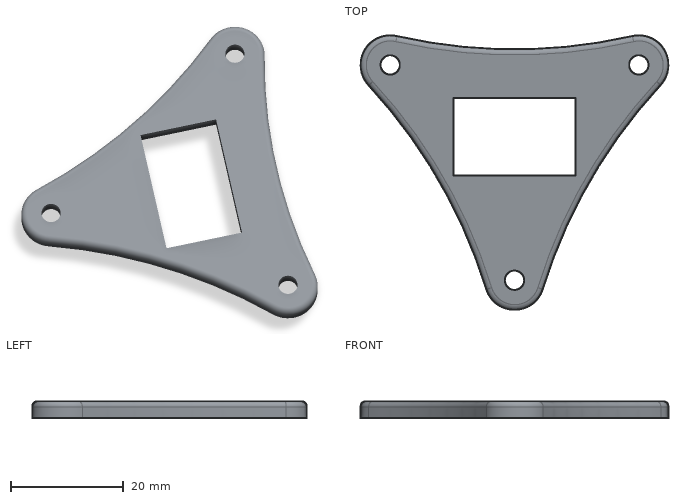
import cadquery as cq
import math

overall_width = 54.65
thickness = 3.0
hole_spacing = 44.1
hole_diameter = 3.4
side_radius = 93.7
window_width = 21.6
window_height = 13.7
edge_fillet = 1.0

corner_radius = (overall_width - hole_spacing) / 2
hole_circle_radius = hole_spacing / math.sqrt(3)
side_to_corner = side_radius + corner_radius
tangent_angle = math.degrees(math.asin(hole_spacing / 2 / side_to_corner))
side_middle = (
    hole_circle_radius / 2
    + math.sqrt(side_to_corner**2 - (hole_spacing / 2) ** 2)
    - side_radius
)
corner_angles = [-90, 30, 150]


def polar(radius, angle, center=(0, 0)):
    """Point at a distance and direction (degrees) from a center."""
    direction = math.radians(angle)
    return (
        center[0] + radius * math.cos(direction),
        center[1] + radius * math.sin(direction),
    )


hole_centers = [polar(hole_circle_radius, angle) for angle in corner_angles]


def corner_points(angle):
    """Start, middle and end of the rounded corner in a given direction."""
    center = polar(hole_circle_radius, angle)
    half_sweep = 60 + tangent_angle
    return [
        polar(corner_radius, angle + offset, center)
        for offset in (-half_sweep, 0, half_sweep)
    ]


def plate():
    """Three-cornered plate with concave sides and a rounded top edge."""
    first_start = corner_points(corner_angles[0])[0]
    outline = cq.Workplane("XY").moveTo(*first_start)
    for angle in corner_angles:
        _, tip, end = corner_points(angle)
        next_start = corner_points(angle + 120)[0]
        outline = outline.threePointArc(tip, end)
        outline = outline.threePointArc(polar(side_middle, angle + 60), next_start)
    return outline.close().extrude(thickness).faces(">Z").edges().fillet(edge_fillet)


def screw_holes():
    """Through holes concentric with the rounded corners."""
    return (
        cq.Workplane("XY")
        .pushPoints(hole_centers)
        .circle(hole_diameter / 2)
        .extrude(thickness)
    )


def window():
    """Rectangular opening centred between the holes."""
    return cq.Workplane("XY").rect(window_width, window_height).extrude(thickness)


result = plate().cut(screw_holes()).cut(window())